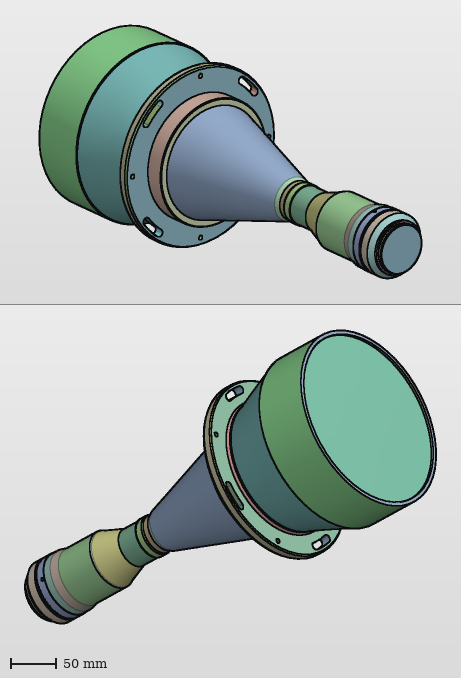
import cadquery as cq
import math

total_length = 514.0

barrel_radius = 106.0
barrel_end = 67.0
barrel_chamfer = 1.0
rim_radius = 101.5
glass_recess = 3.0
glass_bulge = 2.0
neck_radius = 79.5
neck_start = 137.0
neck_lip = 2.0
flare_radius = 81.0

flange_radius = 106.0
flange_start = 143.0
flange_end = 155.5
flange_front_bevel_length = 1.5
flange_rear_bevel_length = 2.5
flange_bevel_depth = 1.5
bolt_circle_radius = 96.5
slot_width = 8.5
slot_half_angle = 7.8
pin_hole_diameter = 5.0
holes_per_circle = 4

hub_radius = 75.0
hub_end = 178.5
hub_chamfer = 1.0
cone_front_radius = 67.0
cone_end = 320.0
cone_end_radius = 26.0

tube_radius = 23.0
tube_start = 325.5
ring_start = 332.5
ring_end = 344.0
ring_radius = 24.0
ring_bevel_length = 2.0
tube_end = 372.0

body_start = 403.5
body_radius = 35.0
body_chamfer_length = 1.5
body_chamfer_depth = 1.0
body_end = 455.0
sleeve_start = 465.5
sleeve_radius = 37.5
collar_start = 475.0
collar_radius = 38.0
groove_start = 486.0
groove_end = 489.0
groove_depth = 1.5
nose_start = 500.5
nose_end = 506.5
mount_radius = 32.0
mount_end = 509.5
thread_radius = 29.5
thread_chamfer = 1.0

set_screw_diameter = 3.5
set_screw_depth = 4.0
set_screw_position = 478.0
set_screw_first_angle = 15.0
set_screw_count = 3


def revolved_body():
    """Solid of revolution carrying every turned step of the lens."""
    glass_edge = glass_recess
    glass_centre = glass_recess - glass_bulge
    dome_radius = (rim_radius**2 + glass_bulge**2) / (2 * glass_bulge)
    half_out = rim_radius / 2
    dome_middle = glass_centre + dome_radius - math.sqrt(dome_radius**2 - half_out**2)

    profile = (
        cq.Workplane("XY")
        .moveTo(total_length, 0)
        .lineTo(glass_centre, 0)
        .threePointArc((dome_middle, half_out), (glass_edge, rim_radius))
        .lineTo(0, rim_radius)
        .lineTo(0, barrel_radius)
        .lineTo(barrel_end - barrel_chamfer, barrel_radius)
        .lineTo(barrel_end, barrel_radius - barrel_chamfer)
        .lineTo(neck_start, neck_radius)
        .lineTo(neck_start + neck_lip, neck_radius)
        .lineTo(flange_start, flare_radius)
        .lineTo(flange_start, flange_radius - flange_bevel_depth)
        .lineTo(flange_start + flange_front_bevel_length, flange_radius)
        .lineTo(flange_end - flange_rear_bevel_length, flange_radius)
        .lineTo(flange_end, flange_radius - flange_bevel_depth)
        .lineTo(flange_end, hub_radius)
        .lineTo(hub_end - hub_chamfer, hub_radius)
        .lineTo(hub_end, hub_radius - hub_chamfer)
        .lineTo(hub_end, cone_front_radius)
        .lineTo(cone_end, cone_end_radius)
        .lineTo(tube_start, tube_radius)
        .lineTo(ring_start, tube_radius)
        .lineTo(ring_start + ring_bevel_length, ring_radius)
        .lineTo(ring_end, ring_radius)
        .lineTo(ring_end, tube_radius)
        .lineTo(tube_end, tube_radius)
        .lineTo(body_start, body_radius - body_chamfer_depth)
        .lineTo(body_start + body_chamfer_length, body_radius)
        .lineTo(body_end, body_radius)
        .lineTo(sleeve_start, sleeve_radius)
        .lineTo(collar_start, sleeve_radius)
        .lineTo(collar_start, collar_radius)
        .lineTo(groove_start, collar_radius)
        .lineTo(groove_start, collar_radius - groove_depth)
        .lineTo(groove_end, collar_radius - groove_depth)
        .lineTo(groove_end, collar_radius)
        .lineTo(nose_start, collar_radius)
        .lineTo(nose_end, mount_radius)
        .lineTo(mount_end, mount_radius)
        .lineTo(mount_end, thread_radius)
        .lineTo(total_length - thread_chamfer, thread_radius)
        .lineTo(total_length, thread_radius - thread_chamfer)
        .close()
    )
    return profile.revolve(360, (0, 0, 0), (1, 0, 0))


def on_circle(radius, angle):
    """Point (Y, Z) at the given angle in degrees from +Y towards +Z."""
    turn = math.radians(angle)
    return (radius * math.cos(turn), radius * math.sin(turn))


def flange_slot(middle_angle):
    """Cutter for one slot curved along the bolt circle, with round ends."""
    inner = bolt_circle_radius - slot_width / 2
    outer = bolt_circle_radius + slot_width / 2
    start = middle_angle - slot_half_angle
    end = middle_angle + slot_half_angle
    overrun = math.degrees(slot_width / 2 / bolt_circle_radius)
    return (
        cq.Workplane("YZ", origin=(flange_start, 0, 0))
        .moveTo(*on_circle(outer, start))
        .threePointArc(on_circle(outer, middle_angle), on_circle(outer, end))
        .threePointArc(on_circle(bolt_circle_radius, end + overrun), on_circle(inner, end))
        .threePointArc(on_circle(inner, middle_angle), on_circle(inner, start))
        .threePointArc(on_circle(bolt_circle_radius, start - overrun), on_circle(outer, start))
        .close()
        .extrude(flange_end - flange_start)
    )


def flange_pin_holes():
    """Cutter for the small holes on the Y and Z axes of the flange."""
    return (
        cq.Workplane("YZ", origin=(flange_start, 0, 0))
        .polarArray(bolt_circle_radius, 0, 360, holes_per_circle)
        .circle(pin_hole_diameter / 2)
        .extrude(flange_end - flange_start)
    )


def set_screw_hole(angle):
    """Cutter for one radial set-screw hole in the collar."""
    return (
        cq.Workplane("XY", origin=(set_screw_position, 0, collar_radius - set_screw_depth))
        .circle(set_screw_diameter / 2)
        .extrude(2 * set_screw_depth)
        .rotate((0, 0, 0), (1, 0, 0), angle)
    )


result = revolved_body().cut(flange_pin_holes())

slot_pitch = 360 / holes_per_circle
for index in range(holes_per_circle):
    result = result.cut(flange_slot((index + 0.5) * slot_pitch))

for index in range(set_screw_count):
    result = result.cut(set_screw_hole(set_screw_first_angle + index * 360 / set_screw_count))